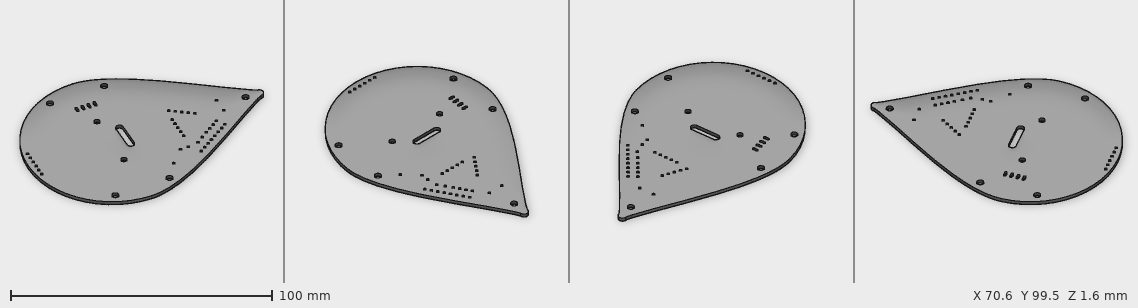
import cadquery as cq
import math

thickness = 1.6
length = 99.45
round_radius = 35.3

tip_y = length - round_radius
cap_radius = 1.7
cap_centre_y = tip_y - cap_radius
shoulder_x = 2.8
shoulder_y = 60.5

upper_pull = (12.2, 45.0)
lower_pull_y = 17.3

mount_diameter = 2.7
mount_x = 29.0
mount_upper_y = 10.5
mount_lower_y = -12.4
tip_mount_y = 56.7

inner_diameter = 2.4
inner_spacing = 24.0
inner_centre = (0.1, -0.7)

central_slot_length = 12.9
central_slot_width = 3.0
central_slot_y = 5.6
pad_slot_length = 2.5
pad_slot_width = 1.0
pad_slot_x = -21.4
pad_slot_top_y = 3.0
pad_slot_count = 4

pin_diameter = 1.0
pitches_per_span = 10
pitch_span = 25.4
pin_pitch = pitch_span / pitches_per_span
flank_angle = 56.0
pin_rows = [
    ((-6.7, -32.6), 6, 0),
    ((-0.5, 25.8), 5, 0),
    ((-5.7, 26.8), 5, flank_angle),
    ((7.4, 40.8), 4, -flank_angle),
    ((10.5, 42.9), 8, -flank_angle),
]
single_pins = [
    (-3.2, 45.8),
    (3.2, 45.8),
    (13.4, 31.8),
    (15.4, 29.1),
    (16.1, 24.7),
    (16.1, 21.4),
    (22.2, 15.6),
]


def make_plate():
    right_flank = [
        (shoulder_x, shoulder_y),
        upper_pull,
        (round_radius, lower_pull_y),
        (round_radius, 0),
    ]
    left_flank = [(-x, y) for x, y in reversed(right_flank)]
    return (
        cq.Workplane("XY")
        .moveTo(-cap_radius, cap_centre_y)
        .threePointArc((0, tip_y), (cap_radius, cap_centre_y))
        .lineTo(shoulder_x, shoulder_y)
        .bezier(right_flank)
        .threePointArc((0, -round_radius), (-round_radius, 0))
        .bezier(left_flank)
        .close()
        .extrude(thickness)
    )


def row_points(first, count, direction):
    step_x = pin_pitch * math.cos(math.radians(direction))
    step_y = pin_pitch * math.sin(math.radians(direction))
    return [(first[0] + i * step_x, first[1] + i * step_y) for i in range(count)]


def hole_cutter(points, diameter):
    return cq.Workplane("XY").pushPoints(points).circle(diameter / 2).extrude(thickness)


def slot_cutter(points, slot_length, slot_width):
    return cq.Workplane("XY").pushPoints(points).slot2D(slot_length, slot_width).extrude(thickness)


mount_points = [(side * mount_x, y) for side in (-1, 1) for y in (mount_upper_y, mount_lower_y)]
mount_points.append((0, tip_mount_y))

inner_points = [(inner_centre[0] + side * inner_spacing / 2, inner_centre[1]) for side in (-1, 1)]

pad_slot_points = row_points((pad_slot_x, pad_slot_top_y), pad_slot_count, -90)

pin_points = list(single_pins)
for first_pin, pin_count, row_direction in pin_rows:
    pin_points += row_points(first_pin, pin_count, row_direction)

result = (
    make_plate()
    .cut(hole_cutter(mount_points, mount_diameter))
    .cut(hole_cutter(inner_points, inner_diameter))
    .cut(hole_cutter(pin_points, pin_diameter))
    .cut(slot_cutter([(0, central_slot_y)], central_slot_length, central_slot_width))
    .cut(slot_cutter(pad_slot_points, pad_slot_length, pad_slot_width))
)